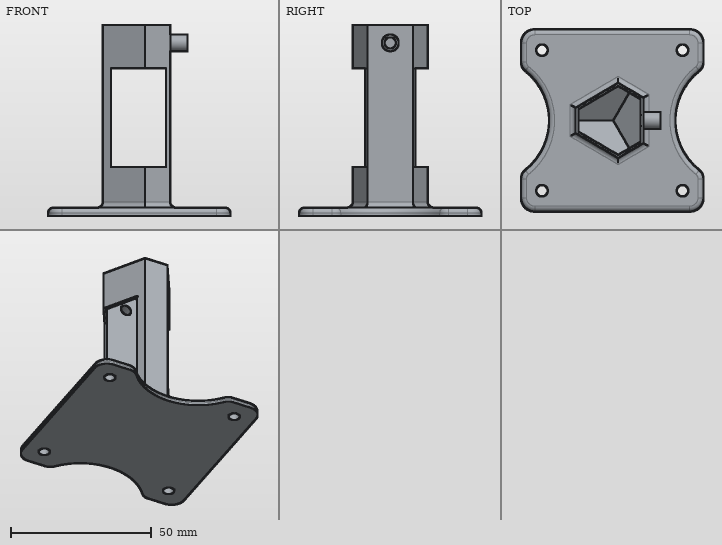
import cadquery as cq
import math

plate_size = 65.0
plate_thickness = 3.0
plate_corner_radius = 5.0
plate_edge_radius = 2.0
waist_radius = 22.5
waist_centre_x = 45.0
waist_corner_radius = 4.0
hole_spacing = 50.0
hole_diameter = 4.0

total_height = 68.0
tube_left_x = -13.0
tube_left_half_width = 4.5
tube_ridge_x = 2.1
tube_ridge_y = 13.35
tube_right_x = 11.05
tube_right_half_width = 8.1
tube_wall = 0.95
tube_base_fillet = 2.0

floor_apex_x = 0.35
floor_apex_z = 4.0
floor_slope = 42.0

window_left_x = -10.0
window_right_x = 9.5
window_bottom_z = 17.5
window_height = 35.0

spigot_diameter = 6.0
spigot_bore = 4.0
spigot_length = 6.15
spigot_z = 61.6


def make_plate():
    """Square plate with a round bite in each X side, four holes and a rounded top edge."""
    half = plate_size / 2
    plate = cq.Workplane("XY").rect(plate_size, plate_size).extrude(plate_thickness)
    plate = plate.edges("|Z").fillet(plate_corner_radius)

    bites = (
        cq.Workplane("XY")
        .pushPoints([(-waist_centre_x, 0), (waist_centre_x, 0)])
        .circle(waist_radius)
        .extrude(plate_thickness)
    )
    plate = plate.cut(bites)

    bite_corner_y = math.sqrt(waist_radius**2 - (waist_centre_x - half) ** 2)
    for side in (-1, 1):
        for end in (-1, 1):
            corner = cq.selectors.NearestToPointSelector(
                (side * half, end * bite_corner_y, plate_thickness / 2)
            )
            plate = plate.edges("|Z").edges(corner).fillet(waist_corner_radius)

    plate = plate.faces(">Z").edges().fillet(plate_edge_radius)
    holes = (
        cq.Workplane("XY")
        .rect(hole_spacing, hole_spacing, forConstruction=True)
        .vertices()
        .circle(hole_diameter / 2)
        .extrude(plate_thickness)
    )
    return plate.cut(holes)


def tube_outline(bottom_z):
    """Outer six-sided outline of the tube at the given height."""
    return cq.Workplane("XY", origin=(0, 0, bottom_z)).polyline([
        (tube_left_x, -tube_left_half_width),
        (tube_ridge_x, -tube_ridge_y),
        (tube_right_x, -tube_right_half_width),
        (tube_right_x, tube_right_half_width),
        (tube_ridge_x, tube_ridge_y),
        (tube_left_x, tube_left_half_width),
    ]).close()


def make_floor_pit():
    """Upside-down three-sided pyramid with its point at the floor apex, reaching past the tube top."""
    height = total_height
    face_distance = height / math.tan(math.radians(floor_slope))
    corner_distance = 2 * face_distance
    corners = []
    for angle in (60, 180, 300):
        corners.append(cq.Vector(
            floor_apex_x + corner_distance * math.cos(math.radians(angle)),
            corner_distance * math.sin(math.radians(angle)),
            floor_apex_z + height,
        ))
    apex = cq.Vector(floor_apex_x, 0, floor_apex_z)

    faces = [cq.Face.makeFromWires(cq.Wire.makePolygon(corners, close=True))]
    for index in range(len(corners)):
        triangle = [corners[index - 1], corners[index], apex]
        faces.append(cq.Face.makeFromWires(cq.Wire.makePolygon(triangle, close=True)))
    return cq.Workplane(cq.Solid.makeSolid(cq.Shell.makeShell(faces)))


def make_cavity():
    """Inside of the tube, ending below in the three-sided floor."""
    bore = tube_outline(0).offset2D(-tube_wall, "intersection").extrude(total_height)
    return bore.intersect(make_floor_pit())


def add_tube(plate):
    """Stand the solid tube on the plate with a fillet around its foot."""
    body = plate.union(tube_outline(0).extrude(total_height))
    margin = tube_base_fillet / 2
    foot = cq.selectors.BoxSelector(
        (tube_left_x - margin, -tube_ridge_y - margin, plate_thickness - margin),
        (tube_right_x + margin, tube_ridge_y + margin, plate_thickness + margin),
    )
    return body.edges(foot).fillet(tube_base_fillet)


def make_window():
    """Rectangular opening that runs through the tube along Y."""
    return cq.Workplane("XY").box(
        window_right_x - window_left_x, plate_size, window_height, centered=(False, True, False)
    ).translate((window_left_x, 0, window_bottom_z))


def add_spigot(body):
    """Hollow spigot on the +X wall, bored through into the tube."""
    inner_x = tube_right_x - tube_wall
    length = tube_wall + spigot_length
    axis = cq.Workplane("YZ", origin=(inner_x, 0, spigot_z))
    spigot = axis.circle(spigot_diameter / 2).extrude(length)
    bore = axis.circle(spigot_bore / 2).extrude(length)
    return body.union(spigot).cut(bore)


body = add_tube(make_plate())
body = body.cut(make_cavity())
body = body.cut(make_window())
result = add_spigot(body)